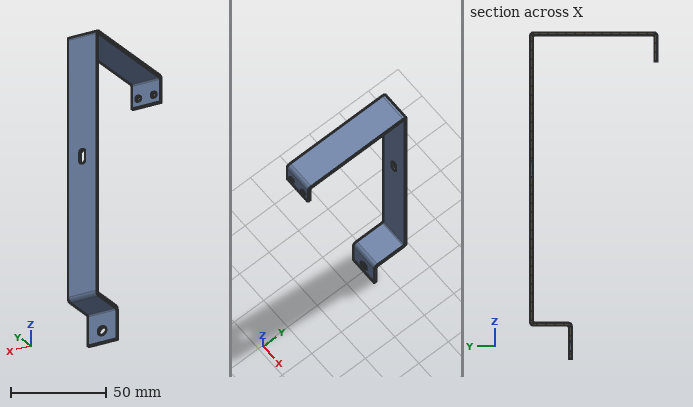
import cadquery as cq

width = 17.5
thickness = 1.63
inner_radius = 0.7
outer_radius = inner_radius + thickness

height = 171.67
depth = 67.0
top_lip_height = 15.3
foot_depth = 22.0
foot_height = 19.1

lip_hole_diameter = 3.3
lip_hole_spacing = 9.5
lip_hole_drop = 10.35
slot_width = 3.5
slot_length = 8.3
slot_drop = 71.8
foot_hole_diameter = 5.0
foot_hole_rise = 6.7

back_y = depth / 2
lip_y = back_y - depth
foot_y = back_y - foot_depth
top_z = height
shelf_z = foot_height


def make_strip():
    """Bent strip: lip, top arm, back wall, lower shelf and foot, with rounded bends."""
    outline = [
        (lip_y, top_z - top_lip_height),
        (lip_y, top_z),
        (back_y, top_z),
        (back_y, shelf_z - thickness),
        (foot_y + thickness, shelf_z - thickness),
        (foot_y + thickness, 0),
        (foot_y, 0),
        (foot_y, shelf_z),
        (back_y - thickness, shelf_z),
        (back_y - thickness, top_z - thickness),
        (lip_y + thickness, top_z - thickness),
        (lip_y + thickness, top_z - top_lip_height),
    ]
    outer_corners = [
        (lip_y, top_z),
        (back_y, top_z),
        (back_y, shelf_z - thickness),
        (foot_y, shelf_z),
    ]
    inner_corners = [
        (lip_y + thickness, top_z - thickness),
        (back_y - thickness, top_z - thickness),
        (back_y - thickness, shelf_z),
        (foot_y + thickness, shelf_z - thickness),
    ]
    strip = cq.Workplane("YZ").polyline(outline).close().extrude(width / 2, both=True)
    strip = round_bends(strip, outer_corners, outer_radius)
    return round_bends(strip, inner_corners, inner_radius)


def round_bends(body, corners, radius):
    """Fillet the edges along X that pass through the given (y, z) corners."""
    for y, z in corners:
        edge = body.edges(cq.selectors.NearestToPointSelector((0, y, z)))
        body = edge.fillet(radius)
    return body


def sheet_plane(front_y, z):
    """Plane on the front face of an upright wall, facing -Y."""
    return cq.Workplane("XZ", origin=(0, front_y, z))


def lip_holes():
    positions = [(-lip_hole_spacing / 2, 0), (lip_hole_spacing / 2, 0)]
    plane = sheet_plane(lip_y, top_z - lip_hole_drop)
    return plane.pushPoints(positions).circle(lip_hole_diameter / 2).extrude(-thickness)


def back_slot():
    plane = sheet_plane(back_y - thickness, top_z - slot_drop)
    return plane.slot2D(slot_length, slot_width, 90).extrude(-thickness)


def foot_hole():
    plane = sheet_plane(foot_y, foot_hole_rise)
    return plane.circle(foot_hole_diameter / 2).extrude(-thickness)


result = make_strip().cut(lip_holes()).cut(back_slot()).cut(foot_hole())